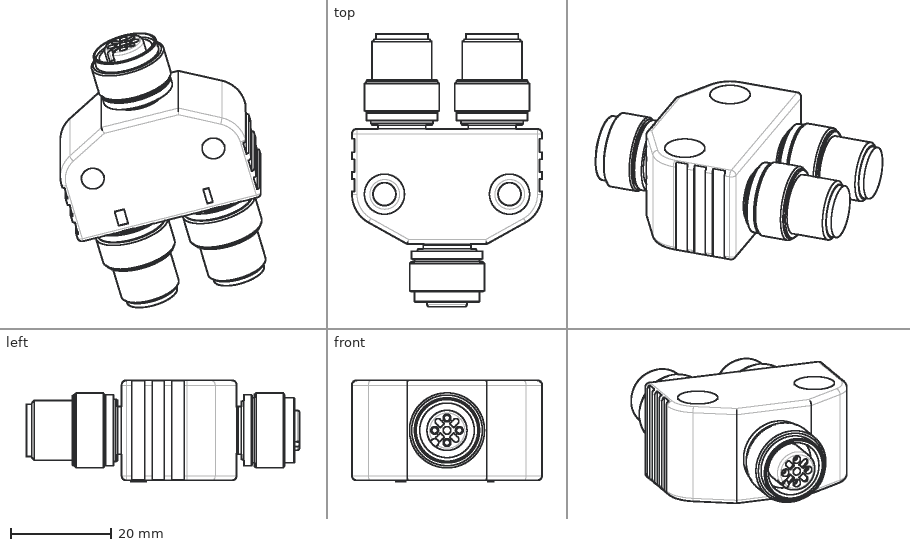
import cadquery as cq
import math

overall_length = 54.5

body_width = 38.0
body_length = 23.0
body_height = 20.0
front_half_width = 7.95
taper_angle = 30
edge_round = 1.0

hole_x = 12.5
hole_y = -13.0
hole_d = 4.5
counterbore_d = 8.0
counterbore_depth = 4.65
hole_lip_round = 0.7

groove_depth = 0.5
grip_grooves = [(2.0, 2.6), (6.1, 2.45), (10.05, 2.45)]

pad_height = 0.2
pad_length = 3.15
pad_start = 1.8
pads = [(-9.2, 1.95), (8.7, 1.15)]

male_spacing = 18
root_depth = 1.0
neck_r = 9.6 / 2
neck_taper = 0.15
nut_r = 15.0 / 2
nut_ring_r = 14.2 / 2
nut_ring_chamfer = 0.1

male_flange_r = 12.5 / 2
male_barrel_r = 12 / 2
male_barrel_chamfer = 0.55
male_barrel_end = 17.95
male_tip_r = 10.45 / 2
male_length = 18.95

female_flange_r = 12 / 2
sleeve_r = 13.0 / 2
sleeve_end = 11.55
sleeve_bore_r = 12.3 / 2
sleeve_bore_depth = 0.8
rim_chamfer = 0.15
socket_bore_r = 10.9 / 2
socket_bore_depth = 5.45
insert_r = 8.0 / 2
insert_round = 0.5
female_length = overall_length - body_length - male_length

contact_circle_r = 2.45
contact_d = 1.15
contact_mouth_d = 1.5
contact_depth = 2.7
contact_mouth_depth = 1.65
relief_width = 1.15
relief_inner_r = 1.3
relief_outer_r = 3.1
relief_depth = 0.5
keyway_d = 1.5
keyway_depth = 2.2
keyway_r = 3.45
keyway_angle = 225


def revolve_along_y(points):
    """Revolve an outline of (radius, y) points about the Y axis."""
    return cq.Workplane("XY").polyline(points).close().revolve(360, (0, 0, 0), (0, 1, 0))


def make_housing():
    half_width = body_width / 2
    corner_r = half_width - hole_x
    turn = math.radians(90 - taper_angle)

    def corner_point(angle):
        return (hole_x + corner_r * math.cos(angle), hole_y - corner_r * math.sin(angle))

    half = (
        cq.Workplane("XY")
        .workplane(offset=-body_height / 2)
        .lineTo(half_width, 0)
        .lineTo(half_width, hole_y)
        .threePointArc(corner_point(turn / 2), corner_point(turn))
        .lineTo(front_half_width, -body_length)
        .lineTo(0, -body_length)
        .close()
        .extrude(body_height)
    )
    block = half.union(half.mirror("YZ")).clean()
    block = block.edges("|Z and >Y").fillet(edge_round)
    return block.faces("|Z").edges().fillet(edge_round)


def make_grip_grooves():
    cutters = cq.Workplane("XY")
    for start, width in grip_grooves:
        for side in (-1, 1):
            groove = cq.Workplane("XY").box(2 * groove_depth, width, body_height)
            cutters = cutters.add(groove.translate((side * body_width / 2, -start - width / 2, 0)))
    return cutters.combine()


def make_screw_hole(x):
    """Through hole and counterbore, with a rounded lip where they meet."""
    top = body_height / 2
    ledge = top - counterbore_depth
    hole_r = hole_d / 2
    lip_r = hole_r + hole_lip_round
    slant = hole_lip_round * math.sqrt(0.5)
    return (
        cq.Workplane("XZ")
        .moveTo(0, -top)
        .lineTo(hole_r, -top)
        .lineTo(hole_r, ledge - hole_lip_round)
        .threePointArc((lip_r - slant, ledge - hole_lip_round + slant), (lip_r, ledge))
        .lineTo(counterbore_d / 2, ledge)
        .lineTo(counterbore_d / 2, top)
        .lineTo(0, top)
        .close()
        .revolve(360, (0, 0, 0), (0, 1, 0))
        .translate((x, hole_y, 0))
    )


def make_male_connector(x):
    """Stepped plug pointing to +Y: neck, flange, ring, nut, barrel and tip."""
    outline = [
        (0, -root_depth),
        (neck_r, -root_depth),
        (neck_r, 0.75),
        (male_flange_r - 0.25, 0.75),
        (male_flange_r, 1.15),
        (male_flange_r, 1.6),
        (nut_ring_r - nut_ring_chamfer, 1.6),
        (nut_ring_r, 1.6 + nut_ring_chamfer),
        (nut_ring_r, 3.1),
        (nut_ring_r - nut_ring_chamfer, 3.3),
        (nut_r, 3.65),
        (nut_r, 9.0),
        (nut_ring_r, 9.4),
        (nut_ring_r, 9.55),
        (nut_ring_r - 0.2, 9.8),
        (male_barrel_r, 9.8),
        (male_barrel_r, male_barrel_end - male_barrel_chamfer),
        (male_barrel_r - male_barrel_chamfer, male_barrel_end),
        (male_tip_r, male_barrel_end),
        (male_tip_r, male_length),
        (0, male_length),
    ]
    return revolve_along_y(outline).translate((x, 0, 0))


def make_female_shell():
    """Stepped socket body pointing to -Y: neck, flange, ring, groove, nut and sleeve."""
    outline = [
        (0, root_depth),
        (neck_r - neck_taper, root_depth),
        (neck_r - neck_taper, 0),
        (neck_r, -0.25),
        (neck_r, -0.9),
        (female_flange_r - 0.2, -0.9),
        (female_flange_r, -1.4),
        (nut_ring_r, -1.4),
        (nut_ring_r, -2.9),
        (nut_ring_r - 0.2, -3.1),
        (sleeve_r, -3.1),
        (sleeve_r, -3.55),
        (nut_r - 0.3, -3.55),
        (nut_r, -3.85),
        (nut_r, -9.25),
        (nut_r - 0.45, -9.55),
        (sleeve_r, -9.55),
        (sleeve_r, rim_chamfer - sleeve_end),
        (sleeve_r - rim_chamfer, -sleeve_end),
        (0, -sleeve_end),
    ]
    return revolve_along_y(outline)


def make_female_bore():
    """Wide mouth stepping down to the socket bore, which the seal ring closes at its bottom."""
    step_y = sleeve_bore_depth - sleeve_end
    bottom_y = socket_bore_depth - sleeve_end
    ring_r = (socket_bore_r - insert_r) / 2
    return (
        cq.Workplane("XY")
        .moveTo(0, -sleeve_end)
        .lineTo(sleeve_bore_r, -sleeve_end)
        .lineTo(sleeve_bore_r, step_y)
        .lineTo(socket_bore_r, step_y)
        .lineTo(socket_bore_r, bottom_y)
        .threePointArc((insert_r + ring_r, bottom_y - ring_r), (insert_r, bottom_y))
        .lineTo(0, bottom_y)
        .close()
        .revolve(360, (0, 0, 0), (0, 1, 0))
    )


def make_insert():
    """Contact carrier standing in the socket bore, with its holes, reliefs and keyway."""
    face = cq.Workplane("XZ", origin=(0, -female_length, 0))
    insert_length = female_length - sleeve_end + socket_bore_depth
    insert = face.circle(insert_r).extrude(-insert_length).faces("<Y").edges().fillet(insert_round)

    contact = revolve_along_y(
        [
            (0, 0),
            (contact_mouth_d / 2, 0),
            (contact_mouth_d / 2, contact_mouth_depth),
            (contact_d / 2, contact_mouth_depth),
            (contact_d / 2, contact_depth),
            (0, contact_depth),
        ]
    ).translate((contact_circle_r, -female_length, 0))
    for angle in (0, 90, 180, 270):
        insert = insert.cut(contact.rotate((0, 0, 0), (0, 1, 0), angle))
    centre = face.circle(contact_mouth_d / 2).extrude(-contact_depth)
    insert = insert.cut(centre)

    straight = relief_outer_r - relief_width / 2 - relief_inner_r
    relief = (
        face.moveTo(relief_inner_r, -relief_width / 2)
        .line(straight, 0)
        .threePointArc((relief_outer_r, 0), (relief_inner_r + straight, relief_width / 2))
        .line(-straight, 0)
        .close()
        .extrude(-relief_depth)
    )
    for angle in (45, 135, 225, 315):
        insert = insert.cut(relief.rotate((0, 0, 0), (0, 1, 0), -angle))

    keyway = face.center(keyway_r, 0).circle(keyway_d / 2).extrude(-keyway_depth)
    keyway = keyway.union(
        face.center(keyway_r + keyway_d / 2, 0).rect(keyway_d, keyway_d).extrude(-keyway_depth)
    )
    return insert.cut(keyway.rotate((0, 0, 0), (0, 1, 0), -keyway_angle))


def make_pad(x, width):
    """Marking pad rooted in the housing and standing proud of its underside."""
    pad = cq.Workplane("XY").box(width, pad_length, 2 * pad_height)
    return pad.translate((x, -pad_start - pad_length / 2, -body_height / 2))


housing = make_housing().cut(make_grip_grooves())
for side in (-1, 1):
    housing = housing.cut(make_screw_hole(side * hole_x))
    housing = housing.union(make_male_connector(side * male_spacing / 2))
for pad_x, pad_width in pads:
    housing = housing.union(make_pad(pad_x, pad_width))

socket = make_female_shell().cut(make_female_bore()).union(make_insert())
result = housing.union(socket.translate((0, -body_length, 0)))